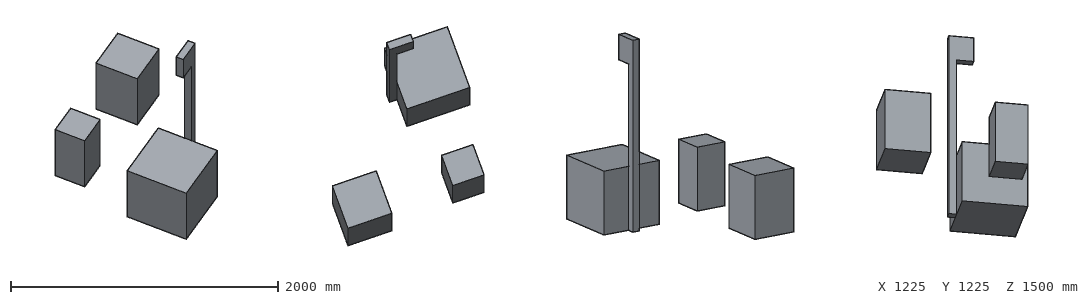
import cadquery as cq

post_height = 1500.0
block_height = post_height / 3
cube_side = block_height
small_side = cube_side / 2
large_side = 350.0
block_gap = 375.0
post_width = 60.0
head_reach = 190.0
head_height = 200.0

cube_center_x = large_side + block_gap + cube_side / 2
cube_center_y = cube_side / 2
large_center_x = large_side / 2
large_center_y = cube_side + block_gap + large_side / 2
post_back_y = cube_side + post_width


def square_block(side, center_x, center_y):
    """Upright block with a square base standing on the floor."""
    return (
        cq.Workplane("XY")
        .center(center_x, center_y)
        .rect(side, side)
        .extrude(block_height)
    )


def make_post():
    """Post behind the cube, with a head that reaches forward over the cube."""
    head_front_y = post_back_y - head_reach
    head_bottom_z = post_height - head_height
    return (
        cq.Workplane("YZ", origin=(cube_center_x, 0, 0))
        .moveTo(cube_side, 0)
        .lineTo(post_back_y, 0)
        .lineTo(post_back_y, post_height)
        .lineTo(head_front_y, post_height)
        .lineTo(head_front_y, head_bottom_z)
        .lineTo(cube_side, head_bottom_z)
        .close()
        .extrude(post_width / 2, both=True)
    )


cube = square_block(cube_side, cube_center_x, cube_center_y)
large_block = square_block(large_side, large_center_x, large_center_y)
small_block = square_block(small_side, large_center_x, cube_center_y)
post = make_post()

result = cq.Compound.makeCompound([cube.val(), large_block.val(), small_block.val(), post.val()])